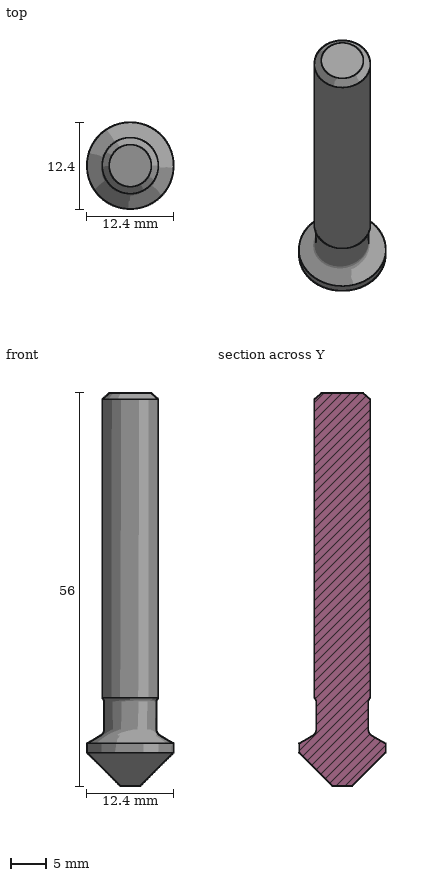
import cadquery as cq
import math

total_length = 56.0

head_diameter = 12.4
tip_diameter = 2.8
point_angle = 90.0
land_height = 1.3
back_slope = 30.0
back_fillet = 1.0

neck_diameter = 7.5
shank_diameter = 8.0
shank_start = 12.6
shoulder_slope = 60.0
shoulder_fillet = 0.5
end_chamfer_width = 1.0
end_chamfer_height = 0.87

head_radius = head_diameter / 2
tip_radius = tip_diameter / 2
neck_radius = neck_diameter / 2
shank_radius = shank_diameter / 2

land_bottom = (head_radius - tip_radius) / math.tan(math.radians(point_angle / 2))
land_top = land_bottom + land_height
end_chamfer_bottom = total_length - end_chamfer_height


def neck_fillet(radius, slope, cone_edge, upward):
    """Start, middle and end of the arc joining a cone to the neck, from the cone end.

    The cone runs from cone_edge (radius, height) down to the neck radius, rising
    (upward = 1) or falling (upward = -1) at the given slope from horizontal.
    """
    slope_angle = math.radians(slope)
    sweep = math.pi / 2 - slope_angle
    edge_radius, edge_height = cone_edge
    center_radius = neck_radius + radius
    tangent_radius = center_radius - radius * math.cos(sweep)
    tangent_height = edge_height + upward * (edge_radius - tangent_radius) * math.tan(slope_angle)
    center_height = tangent_height + upward * radius * math.sin(sweep)

    def arc_point(angle):
        return (
            center_radius - radius * math.cos(angle),
            center_height - upward * radius * math.sin(angle),
        )

    return arc_point(sweep), arc_point(sweep / 2), arc_point(0)


def countersink():
    """Half profile in the YZ plane, revolved about the Z axis."""
    back_start, back_middle, back_end = neck_fillet(
        back_fillet, back_slope, (head_radius, land_top), upward=1
    )
    shoulder_end, shoulder_middle, shoulder_start = neck_fillet(
        shoulder_fillet, shoulder_slope, (shank_radius, shank_start), upward=-1
    )
    return (
        cq.Workplane("YZ")
        .moveTo(0, 0)
        .lineTo(tip_radius, 0)
        .lineTo(head_radius, land_bottom)
        .lineTo(head_radius, land_top)
        .lineTo(*back_start)
        .threePointArc(back_middle, back_end)
        .lineTo(*shoulder_start)
        .threePointArc(shoulder_middle, shoulder_end)
        .lineTo(shank_radius, shank_start)
        .lineTo(shank_radius, end_chamfer_bottom)
        .lineTo(shank_radius - end_chamfer_width, total_length)
        .lineTo(0, total_length)
        .close()
        .revolve(360, (0, 0), (0, 1))
    )


result = countersink()